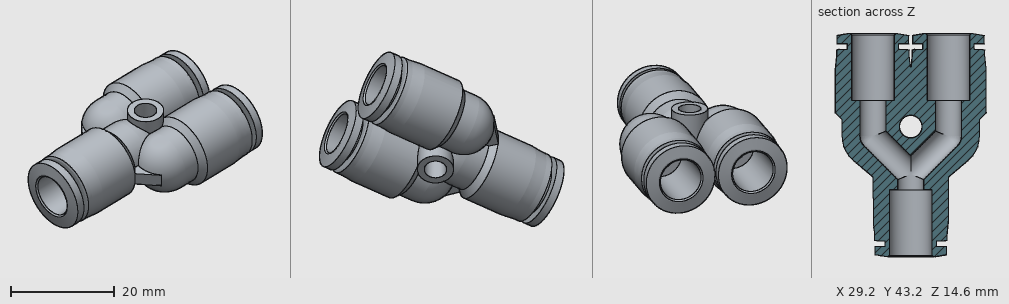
import cadquery as cq
import math

total_length = 43.2
half_length = total_length / 2

barrel_radius = 7.3
barrel_lip_radius = 7.05
barrel_rim_radius = 6.55
sleeve_flange_radius = 6.95
sleeve_neck_radius = 5.0
sleeve_rim_radius = 4.65
neck_radius = 6.0
flange_start = 0.4
flange_end = 2.05
rim_start = 3.05
lip_start = 3.2
taper_start = 4.35
barrel_start = 6.9
barrel_end = 15.42
neck_start = barrel_end + barrel_radius - neck_radius
branch_neck_end = 19.9
stem_neck_end = 20.48

socket_radius = 4.1
socket_depth = 12.95
socket_chamfer = 0.3
passage_radius = 2.5

boss_radius = 3.5
boss_hole_radius = 2.15
boss_y = half_length - 18.0
boss_height = 2 * barrel_radius
rib_thickness = 2.6

branch_x = barrel_radius
branch_dome_y = half_length - branch_neck_end
fork_y = branch_dome_y - branch_x
stem_barrel_top_y = barrel_end - half_length


def place_port(port, x, y, turn):
    """Move a port built with its mouth at the origin, pointing along +Y."""
    return port.rotate((0, 0, 0), (0, 0, 1), turn).translate((x, y, 0))


def port_body(neck_end):
    """Solid of revolution: sleeve flange, groove, tapered barrel and domed neck."""
    dome_mid = neck_radius * math.sqrt(0.5)
    return (
        cq.Workplane("XY")
        .lineTo(sleeve_rim_radius, 0)
        .lineTo(sleeve_flange_radius, flange_start)
        .lineTo(sleeve_flange_radius, flange_end)
        .lineTo(sleeve_neck_radius, flange_end)
        .lineTo(sleeve_neck_radius, rim_start)
        .lineTo(barrel_rim_radius, rim_start)
        .lineTo(barrel_lip_radius, lip_start)
        .lineTo(barrel_lip_radius, taper_start)
        .lineTo(barrel_radius, barrel_start)
        .lineTo(barrel_radius, barrel_end)
        .lineTo(neck_radius, neck_start)
        .lineTo(neck_radius, neck_end)
        .threePointArc((dome_mid, neck_end + dome_mid), (0, neck_end + neck_radius))
        .close()
        .revolve(360, (0, 0, 0), (0, 1, 0))
    )


def port_cavity(passage_end):
    """Chamfered tube socket followed by the narrower passage."""
    return (
        cq.Workplane("XY")
        .lineTo(socket_radius + socket_chamfer, 0)
        .lineTo(socket_radius, socket_chamfer)
        .lineTo(socket_radius, socket_depth)
        .lineTo(passage_radius, socket_depth)
        .lineTo(passage_radius, passage_end)
        .lineTo(0, passage_end)
        .close()
        .revolve(360, (0, 0, 0), (0, 1, 0))
    )


def branch_passage():
    """Passage of the +X branch: from the fork to the dome centre, rounded at the elbow."""
    start = cq.Vector(0, fork_y, 0)
    end = cq.Vector(branch_x, branch_dome_y, 0)
    run = end - start
    tube = cq.Solid.makeCylinder(passage_radius, run.Length, start, run)
    elbow = cq.Workplane("XY").sphere(passage_radius).translate(end.toTuple())
    port = place_port(port_cavity(branch_neck_end), branch_x, half_length, 180)
    return port.union(elbow).union(cq.Workplane(tube))


def rib_web():
    """Flat web in the crotch; each edge runs from the stem barrel tangent to a branch dome."""
    corner_drop = branch_dome_y - stem_barrel_top_y
    tangent_angle = math.acos(neck_radius / corner_drop)
    tangent_x = branch_x + neck_radius * math.sin(tangent_angle)
    tangent_y = branch_dome_y - neck_radius * math.cos(tangent_angle)
    outline = [
        (-barrel_radius, stem_barrel_top_y),
        (barrel_radius, stem_barrel_top_y),
        (tangent_x, tangent_y),
        (branch_x, branch_dome_y),
        (-branch_x, branch_dome_y),
        (-tangent_x, tangent_y),
    ]
    return cq.Workplane("XY").polyline(outline).close().extrude(rib_thickness / 2, both=True)


def boss_cylinder(radius):
    return cq.Workplane("XY").center(0, boss_y).circle(radius).extrude(boss_height / 2, both=True)


body = place_port(port_body(stem_neck_end), 0, -half_length, 0)
for side in (-1, 1):
    body = body.union(place_port(port_body(branch_neck_end), side * branch_x, half_length, 180))
body = body.union(rib_web()).union(boss_cylinder(boss_radius))

right_passage = branch_passage()
cavity = right_passage.union(right_passage.mirror("YZ"))
cavity = cavity.union(place_port(port_cavity(fork_y + half_length), 0, -half_length, 0))
body = body.cut(cavity)

result = body.cut(boss_cylinder(boss_hole_radius))